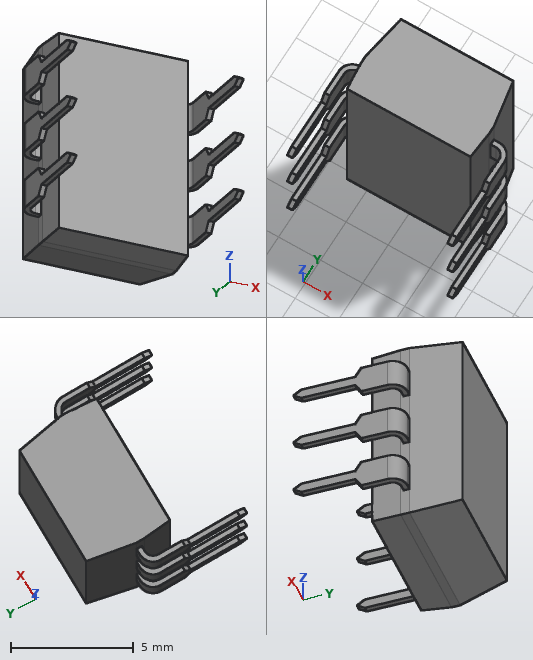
import cadquery as cq


body_width = 6.10
body_length = 8.89
body_height = 3.81
back_height = 2.16
band_height = 0.38
back_inset = 0.38
front_inset = 0.111

lead_pitch = 2.54
leads_per_row = 3
row_spacing = 7.62
lead_thickness = 0.25
wide_width = 1.26
pin_width = 0.45
inner_bend_radius = 0.385
shoulder_start = 3.93
shoulder_end = 4.19
tip_start = 6.52
tip_end = 6.86
embed_depth = 0.5

half_length = body_length / 2
back_y = body_height / 2
band_back_y = back_y - back_height
band_front_y = band_back_y - band_height
front_y = back_y - body_height
tip_y = back_y - tip_end
outer_x = (row_spacing + lead_thickness) / 2
inner_x = outer_x - lead_thickness
outer_bend_radius = inner_bend_radius + lead_thickness
bend_center_x = outer_x - outer_bend_radius
bend_center_y = band_back_y - outer_bend_radius
embed_x = body_width / 2 - embed_depth


def make_body():
    """Block with drafted -X, +X and -Z sides and a flat +Z end."""
    half_width = body_width / 2
    across = (
        cq.Workplane("XY")
        .polyline([
            (half_width - back_inset, back_y),
            (half_width, band_back_y),
            (half_width, band_front_y),
            (half_width - front_inset, front_y),
            (front_inset - half_width, front_y),
            (-half_width, band_front_y),
            (-half_width, band_back_y),
            (back_inset - half_width, back_y),
        ])
        .close()
        .extrude(half_length, both=True)
    )
    along = (
        cq.Workplane("YZ")
        .polyline([
            (back_y, half_length),
            (front_y, half_length),
            (front_y, front_inset - half_length),
            (band_front_y, -half_length),
            (band_back_y, -half_length),
            (back_y, back_inset - half_length),
        ])
        .close()
        .extrude(half_width, both=True)
    )
    return across.intersect(along)


def make_lead():
    """Bent strip on the +X side, trimmed to a shouldered, pointed pin."""
    strip = (
        cq.Workplane("XY")
        .moveTo(embed_x, band_back_y)
        .lineTo(bend_center_x, band_back_y)
        .radiusArc((outer_x, bend_center_y), outer_bend_radius)
        .lineTo(outer_x, tip_y)
        .lineTo(inner_x, tip_y)
        .lineTo(inner_x, bend_center_y)
        .radiusArc((bend_center_x, band_back_y - lead_thickness), -inner_bend_radius)
        .lineTo(embed_x, band_back_y - lead_thickness)
        .close()
        .extrude(wide_width / 2, both=True)
    )
    outline = (
        cq.Workplane("YZ")
        .polyline([
            (band_back_y, wide_width / 2),
            (back_y - shoulder_start, wide_width / 2),
            (back_y - shoulder_end, pin_width / 2),
            (back_y - tip_start, pin_width / 2),
            (tip_y, 0),
            (back_y - tip_start, -pin_width / 2),
            (back_y - shoulder_end, -pin_width / 2),
            (back_y - shoulder_start, -wide_width / 2),
            (band_back_y, -wide_width / 2),
        ])
        .close()
        .extrude(outer_x)
    )
    return strip.intersect(outline)


result = make_body()
right_lead = make_lead()
left_lead = right_lead.mirror("YZ")
for index in range(leads_per_row):
    lead_z = (index - (leads_per_row - 1) / 2) * lead_pitch
    for lead in (left_lead, right_lead):
        result = result.union(lead.translate((0, 0, lead_z)))